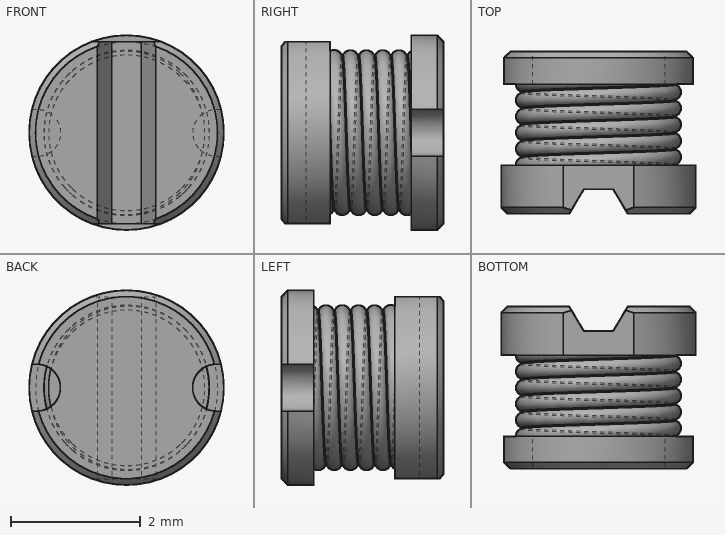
import cadquery as cq

DIAMETER = 3.0
LENGTH = 2.5
RADIUS = DIAMETER / 2
FRONT_Y = -LENGTH / 2
BACK_Y = LENGTH / 2
EDGE_CHAMFER = 0.1

HEAD_THICKNESS = 0.75
HEAD_HEIGHT = 2.8
SLOT_TOP_WIDTH = 0.9
SLOT_FLOOR_WIDTH = 0.45
SLOT_DEPTH = 0.375

FLANGE_THICKNESS = 0.5
NOTCH_WIDTH = 0.72
NOTCH_FLOOR_X = 1.017

HEAD_BACK_Y = FRONT_Y + HEAD_THICKNESS
FLANGE_FRONT_Y = BACK_Y - FLANGE_THICKNESS
CORE_RADIUS = 1.2
CORE_OVERLAP = 0.3
COIL_OUTER_RADIUS = 1.275
VISIBLE_TURNS = 5
HIDDEN_TURNS = 0.5
COIL_PITCH = (FLANGE_FRONT_Y - HEAD_BACK_Y) / VISIBLE_TURNS
COIL_CLEARANCE = 0.0015
WIRE_RADIUS = COIL_PITCH / 2 - COIL_CLEARANCE
COIL_RADIUS = COIL_OUTER_RADIUS - WIRE_RADIUS


def cylinder_along_y(radius, start_y, end_y):
    """Solid cylinder on the Y axis from start_y to end_y."""
    return cq.Workplane("XZ", origin=(0, start_y, 0)).circle(radius).extrude(start_y - end_y)


def make_head():
    """Chamfered disc with flats at top and bottom."""
    disc = cylinder_along_y(RADIUS, FRONT_Y, HEAD_BACK_Y).faces("<Y").chamfer(EDGE_CHAMFER)
    return disc.intersect(cq.Workplane("XY").box(DIAMETER, LENGTH, HEAD_HEIGHT))


def make_flange():
    """Plain disc chamfered around its back face."""
    return cylinder_along_y(RADIUS, FLANGE_FRONT_Y, BACK_Y).faces(">Y").chamfer(EDGE_CHAMFER)


def make_coil():
    """Right-handed round wire wound on Y, with its buried ends on the +X side."""
    start_y = HEAD_BACK_Y - HIDDEN_TURNS * COIL_PITCH
    winding_length = (VISIBLE_TURNS + 2 * HIDDEN_TURNS) * COIL_PITCH
    path = cq.Wire.makeHelix(COIL_PITCH, winding_length, COIL_RADIUS)
    profile = cq.Workplane("XZ").center(COIL_RADIUS, 0).circle(WIRE_RADIUS)
    coil = profile.sweep(cq.Workplane(obj=path), isFrenet=True)
    return coil.rotate((0, 0, 0), (1, 0, 0), -90).translate((0, start_y, 0))


def make_slot():
    """Tapered screwdriver slot running along Z."""
    floor_y = FRONT_Y + SLOT_DEPTH
    outline = [
        (-SLOT_TOP_WIDTH / 2, FRONT_Y),
        (SLOT_TOP_WIDTH / 2, FRONT_Y),
        (SLOT_FLOOR_WIDTH / 2, floor_y),
        (-SLOT_FLOOR_WIDTH / 2, floor_y),
    ]
    return cq.Workplane("XY").polyline(outline).close().extrude(RADIUS, both=True)


def make_notch(side):
    """Round-bottomed notch through the flange; side is -1 or +1 along X."""
    notch_radius = NOTCH_WIDTH / 2
    centre_x = NOTCH_FLOOR_X + notch_radius
    plane = cq.Workplane("XZ", origin=(0, FLANGE_FRONT_Y, 0))
    round_end = plane.center(side * centre_x, 0).circle(notch_radius).extrude(-FLANGE_THICKNESS)
    mouth_plane = plane.center(side * (centre_x + notch_radius / 2), 0)
    mouth = mouth_plane.rect(notch_radius, NOTCH_WIDTH).extrude(-FLANGE_THICKNESS)
    return round_end.union(mouth)


core = cylinder_along_y(CORE_RADIUS, HEAD_BACK_Y - CORE_OVERLAP, FLANGE_FRONT_Y + CORE_OVERLAP)
wound_core = core.union(make_coil(), clean=False)
result = wound_core.union(make_head().union(make_flange()))
result = result.cut(make_slot())
for notch_side in (-1, 1):
    result = result.cut(make_notch(notch_side))